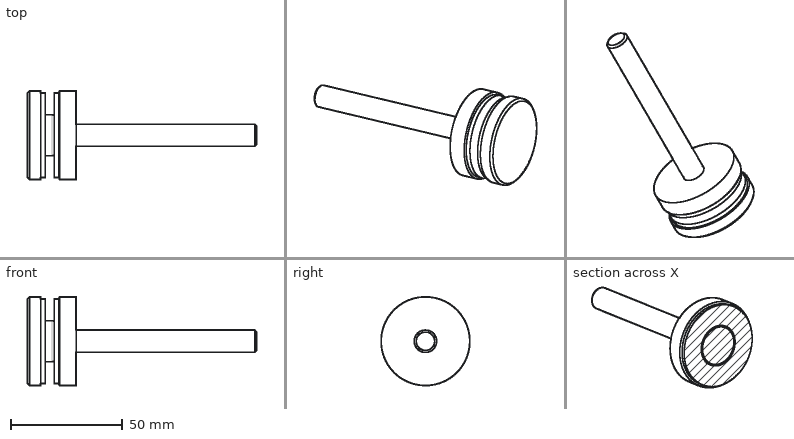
import cadquery as cq

total_length = 103.0
outer_radius = 20.0
gasket_radius = 19.1

cap_back = 6.0
front_gasket_back = 8.0
rear_gasket_front = 12.0
rear_gasket_back = 14.0
disc_back = 21.9

cap_chamfer = 1.0
disc_rim_length = 0.5
hub_radius = 9.3
hub_end_fillet = 3.0
rod_radius = 5.0
rod_chamfer = 0.9


def cylinder(start, end, radius):
    """Solid cylinder about the X axis between two places along it."""
    return cq.Workplane("YZ", origin=(start, 0, 0)).circle(radius).extrude(end - start)


def ring(start, end, radius, bore_radius):
    """Cylinder about the X axis with a through bore."""
    return cylinder(start, end, radius).cut(cylinder(start, end, bore_radius))


def make_cap():
    """Chamfered front cap with a hub whose rounded end sits inside the rear gasket."""
    plate = cylinder(0, cap_back, outer_radius).faces("<X").chamfer(cap_chamfer)
    hub = cylinder(cap_back, rear_gasket_back, hub_radius).faces(">X").edges().fillet(hub_end_fillet)
    return plate.union(hub)


def make_disc():
    """Rear disc with a bevelled front rim and a bore for the rod."""
    profile = [
        (rear_gasket_back, rod_radius),
        (rear_gasket_back, gasket_radius),
        (rear_gasket_back + disc_rim_length, outer_radius),
        (disc_back, outer_radius),
        (disc_back, rod_radius),
    ]
    return cq.Workplane("XY").polyline(profile).close().revolve(360, (0, 0, 0), (1, 0, 0))


def make_rod():
    """Rod that butts against the hub, passes through the disc and has a chamfered end."""
    return cylinder(rear_gasket_back, total_length, rod_radius).faces(">X").chamfer(rod_chamfer)


cap = make_cap()
disc = make_disc()
rod = make_rod()

gasket_places = [
    (cap_back, front_gasket_back),
    (rear_gasket_front, rear_gasket_back),
]
gaskets = [ring(start, end, gasket_radius, hub_radius) for start, end in gasket_places]

result = cq.Compound.makeCompound(
    [cap.val(), disc.val(), rod.val(), *[gasket.val() for gasket in gaskets]]
)